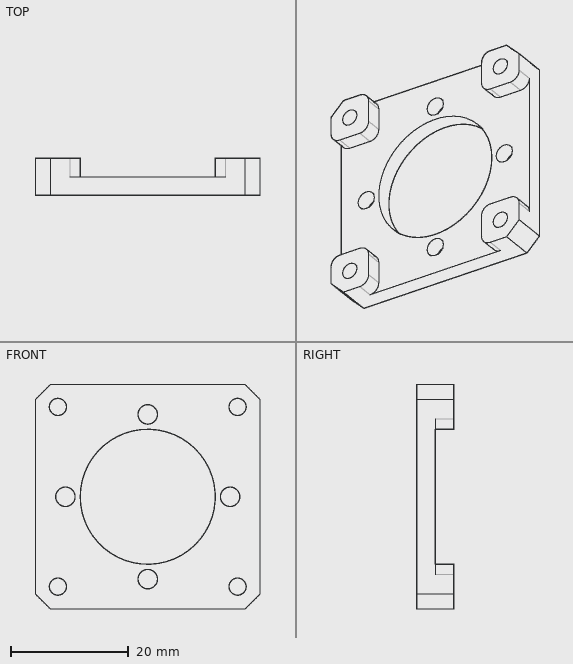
import cadquery as cq

SIDE = 38.1
CORNER_CHAMFER = 2.54
PLATE_THICKNESS = 3.175
TOTAL_THICKNESS = 2 * PLATE_THICKNESS

POST_SIDE = 7.62
POST_RADIUS = 1.78
POST_COUNT = 4

BORE_DIAMETER = 22.86
CORNER_HOLE_DIAMETER = 2.87
SIDE_HOLE_DIAMETER = 3.26
SIDE_HOLE_CIRCLE_RADIUS = 13.97

FRONT_Y = -TOTAL_THICKNESS / 2
PLATE_BACK_Y = FRONT_Y + PLATE_THICKNESS
POST_HEIGHT = TOTAL_THICKNESS - PLATE_THICKNESS
POST_OFFSET = (SIDE - POST_SIDE) / 2


def sketch_plane(y):
    """Plane parallel to XZ at the given y: it faces +Y, with local x along -X and local y along +Z."""
    return cq.Workplane(cq.Plane(origin=(0, y, 0), xDir=(-1, 0, 0), normal=(0, 1, 0)))


def base_plate():
    """Square plate with its four corners cut at 45 degrees."""
    plate = sketch_plane(FRONT_Y).rect(SIDE, SIDE).extrude(PLATE_THICKNESS)
    return plate.edges("|Y").chamfer(CORNER_CHAMFER)


def corner_post():
    """Post in the +X +Z corner: outermost corner chamfered like the plate, the other three rounded."""
    post = (
        sketch_plane(PLATE_BACK_Y)
        .center(-POST_OFFSET, POST_OFFSET)
        .rect(POST_SIDE, POST_SIDE)
        .extrude(POST_HEIGHT)
    )
    rounded = post.edges("|Y").edges("not >(1, 0, 1)").fillet(POST_RADIUS)
    return rounded.edges("|Y").edges(">(1, 0, 1)").chamfer(CORNER_CHAMFER)


def through_holes(diameter, centers):
    """Cylinders along Y that run through the full thickness."""
    return sketch_plane(FRONT_Y).pushPoints(centers).circle(diameter / 2).extrude(TOTAL_THICKNESS)


body = base_plate()
for index in range(POST_COUNT):
    angle = index * 360 / POST_COUNT
    body = body.union(corner_post().rotate((0, 0, 0), (0, 1, 0), angle))

corner_hole_centers = [(x, z) for x in (-POST_OFFSET, POST_OFFSET) for z in (-POST_OFFSET, POST_OFFSET)]
side_hole_centers = []
for offset in (-SIDE_HOLE_CIRCLE_RADIUS, SIDE_HOLE_CIRCLE_RADIUS):
    side_hole_centers += [(offset, 0), (0, offset)]

result = (
    body.cut(through_holes(BORE_DIAMETER, [(0, 0)]))
    .cut(through_holes(CORNER_HOLE_DIAMETER, corner_hole_centers))
    .cut(through_holes(SIDE_HOLE_DIAMETER, side_hole_centers))
    .clean()
)